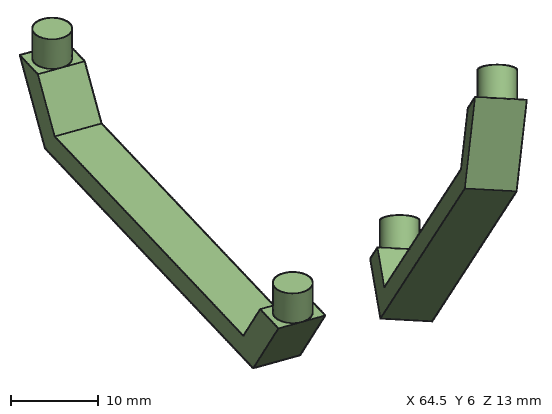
import cadquery as cq
import math

peg_spacing = 60.0
peg_diameter = 4.55
peg_height = 4.0
handle_depth = 6.0
handle_height = 9.0
grip_thickness = 3.0
leg_lean = 35.0

leg_width = peg_diameter
lean_slope = math.tan(math.radians(leg_lean))
seat_outer_x = peg_spacing / 2 + leg_width / 2
seat_inner_x = seat_outer_x - leg_width
foot_outer_x = seat_outer_x - handle_height * lean_slope
grip_end_x = foot_outer_x - leg_width + grip_thickness * lean_slope


def make_handle():
    """Straight grip with two legs leaning outward, extruded along Y."""
    right_half = [
        (foot_outer_x, 0),
        (seat_outer_x, handle_height),
        (seat_inner_x, handle_height),
        (grip_end_x, grip_thickness),
    ]
    left_half = [(-x, z) for x, z in reversed(right_half)]
    outline = cq.Workplane("XZ").polyline(right_half + left_half).close()
    return outline.extrude(handle_depth / 2, both=True)


def add_pegs(handle):
    """Round mounting peg standing on each leg."""
    seats = cq.Workplane("XY").workplane(offset=handle_height)
    peg_centers = [(side * peg_spacing / 2, 0) for side in (-1, 1)]
    pegs = seats.pushPoints(peg_centers).circle(peg_diameter / 2).extrude(peg_height)
    return handle.union(pegs)


result = add_pegs(make_handle())